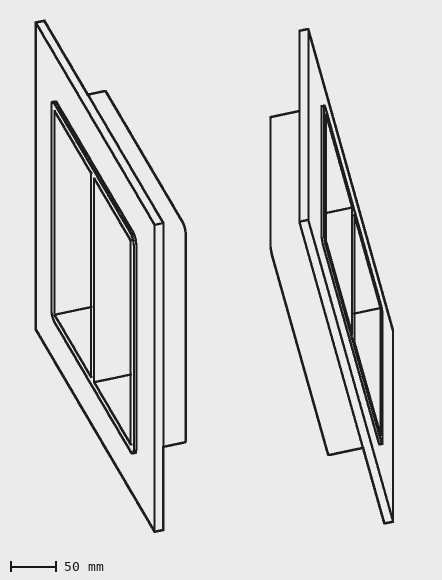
import cadquery as cq

plate_width = 391.0
plate_height = 418.0
plate_thickness = 10.0

flange_margin = 60.0
frame_width = plate_width - 2 * flange_margin
frame_height = plate_height - 2 * flange_margin
frame_depth = 60.0
front_lip = 3.0
wall = 10.0
corner_radius = 10.0

opening_width = (frame_width - 3 * wall) / 2
opening_height = frame_height - 2 * wall
opening_spacing = opening_width + wall


def block(width, depth, height, front_y):
    """Box centred on X and Z, with its front face at front_y."""
    return cq.Workplane("XY").box(width, depth, height).translate((0, front_y + depth / 2, 0))


plate = block(plate_width, plate_thickness, plate_height, 0)
frame = block(frame_width, frame_depth, frame_height, -front_lip)
frame = frame.edges("|Y").fillet(corner_radius)
body = plate.union(frame)

for side in (-1, 1):
    opening = block(opening_width, frame_depth, opening_height, -front_lip)
    body = body.cut(opening.translate((side * opening_spacing / 2, 0, 0)))

result = body